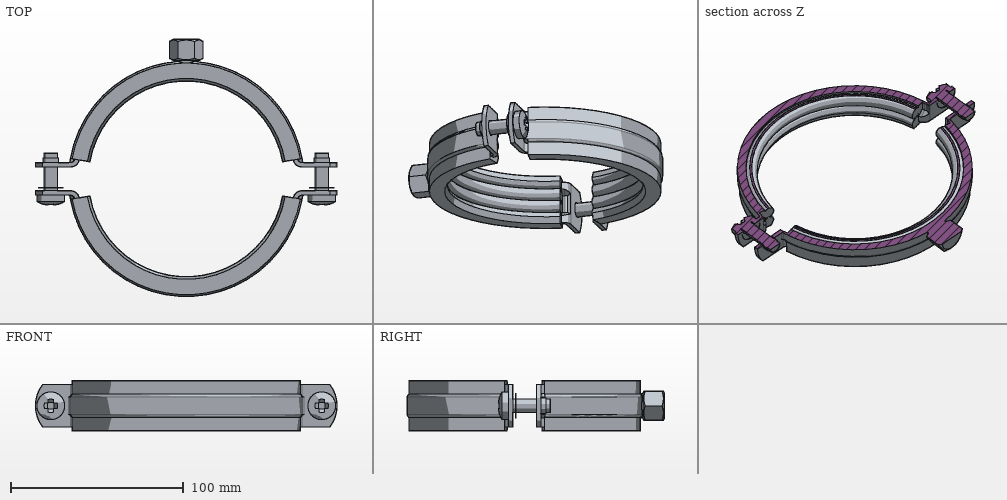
import cadquery as cq
import math

height = 29.0
end_angle = 10.0
lining_radius = 67.0
sheet = 2.6
band_radius = 65.5
embossed_radius = band_radius + sheet
track_half_crest = 5.0
track_round = 2.0
track_half_foot = track_half_crest + track_round
track_wall = 1.5
pocket_half_foot = 8.2
pocket_start = 66.3
rib_radius = 3.7
rib_count = 4
lining_inner_radius = 62.8
bore_radius = 56.5
rib_circle = bore_radius + rib_radius
rib_pitch = (height - 2 * rib_radius) / (rib_count - 1)
edge_rib_flat_radius = 58.1

overall_length = 174.5
ear_height = 24.6
ear_gap = 13.6
ear_inner = ear_gap / 2
ear_outer = ear_inner + sheet
ear_tip = overall_length / 2
ear_tip_sagitta = 4.2
ear_hole = 8.7
bend_radius = 2.6
emboss_bend_radius = 0.9

screw_x = 78.4
shank_diameter = 8.0
shank_tip_diameter = 7.3
shank_end = 15.0
collar_diameter = 9.0
collar_end = 12.2
head_radius = 8.0
head_rim = 3.7
head_height = 6.0
recess_arm = 3.0
recess_span = 8.4
recess_floor_diameter = 3.7
recess_depth = 2.8
washer_diameter = 14.0
washer_thickness = 0.3
washer_y = -5.0

hex_flats = 17.0
hex_start = 68.4
hex_end = 80.8
hex_face_radius = 7.5
hex_chamfer_slope = math.tan(math.radians(30))
neck_diameter = 14.0


def polar(radius, angle):
    """Point on the left side of the ring, angle in degrees above the split plane."""
    a = math.radians(angle)
    return -radius * math.cos(a), radius * math.sin(a)


def lining_profile():
    width = lining_radius - lining_inner_radius
    return cq.Workplane("XZ").moveTo(lining_radius - width / 2, 0).rect(width, height)


def track_profile():
    diagonal = track_round * math.sqrt(0.5)
    round_radius = embossed_radius - track_round
    round_mid = (round_radius + diagonal, track_half_crest + diagonal)
    return (
        cq.Workplane("XZ")
        .moveTo(band_radius, -track_half_foot)
        .lineTo(round_radius, -track_half_foot)
        .threePointArc((round_mid[0], -round_mid[1]), (embossed_radius, -track_half_crest))
        .lineTo(embossed_radius, track_half_crest)
        .threePointArc(round_mid, (round_radius, track_half_foot))
        .lineTo(band_radius, track_half_foot)
        .close()
    )


def edge_rib_profile(side):
    """Outermost rib: round towards its neighbour, flat along the ring face on the given side."""
    centre_z = side * (height / 2 - rib_radius)
    return (
        cq.Workplane("XZ")
        .moveTo(bore_radius, centre_z)
        .threePointArc((rib_circle, centre_z - side * rib_radius), (rib_circle + rib_radius, centre_z))
        .lineTo(rib_circle + rib_radius, side * height / 2)
        .lineTo(edge_rib_flat_radius, side * height / 2)
        .close()
    )


def quarter_ring():
    """Lining, raised track and inner ribs, swept from the +Y axis to the left end."""
    profiles = [lining_profile(), track_profile(), edge_rib_profile(-1), edge_rib_profile(1)]
    for i in range(1, rib_count - 1):
        rib_z = (i - (rib_count - 1) / 2) * rib_pitch
        profiles.append(cq.Workplane("XZ").moveTo(rib_circle, rib_z).circle(rib_radius))

    ring = cq.Workplane("XZ")
    for profile in profiles:
        ring = ring.union(profile.revolve(90 - end_angle, (0, 0, 0), (0, 1, 0)))
    return ring.rotate((0, 0, 0), (0, 0, 1), 90)


def envelope(base_z, ring_radius, ear_y, bend):
    """Filled outline below an ear face that bends up into a circle around the ring axis."""
    overlap_angle = 16.0
    beyond_tip = -ear_tip - 2 * sheet
    bend_y = ear_y + bend
    bend_x = -math.sqrt((ring_radius + bend) ** 2 - bend_y ** 2)
    tangent_angle = math.degrees(math.atan2(bend_y, -bend_x))
    mid_direction = math.radians(-90 - tangent_angle) / 2
    bend_mid = (bend_x + bend * math.cos(mid_direction), bend_y + bend * math.sin(mid_direction))
    arc_mid = polar(ring_radius, (tangent_angle + overlap_angle) / 2)
    return (
        cq.Workplane("XY", origin=(0, 0, base_z))
        .moveTo(beyond_tip, ear_y)
        .lineTo(bend_x, ear_y)
        .threePointArc(bend_mid, polar(ring_radius, tangent_angle))
        .threePointArc(arc_mid, polar(ring_radius, overlap_angle))
        .lineTo(*polar(bore_radius, overlap_angle))
        .lineTo(-bore_radius, 0)
        .lineTo(beyond_tip, 0)
        .close()
    )


def plain_envelope(ring_radius, ear_y, bend):
    return envelope(-ear_height / 2, ring_radius, ear_y, bend).extrude(ear_height)


def track_envelope(ring_radius, ear_y, bend, half_foot, drop):
    """Raised track: straight across its crest, then sloping down by the drop on both sides."""
    flank_width = half_foot - track_half_crest
    slope = math.degrees(math.atan2(drop, flank_width))
    crest = envelope(0, ring_radius, ear_y, bend).extrude(track_half_crest)
    flank = envelope(track_half_crest, ring_radius, ear_y, bend).extrude(flank_width, taper=slope)
    upper = crest.union(flank)
    return upper.union(upper.mirror("XY"))


def ear():
    """Upper left ear with its bend into the band, hollow behind the raised track."""
    outside = plain_envelope(band_radius, ear_outer, bend_radius)
    outside = outside.union(
        track_envelope(embossed_radius, ear_outer, emboss_bend_radius, track_half_foot, track_round))
    inside = plain_envelope(band_radius - sheet, ear_inner, bend_radius + sheet)
    pocket_radius = embossed_radius - track_wall
    pocket_drop = pocket_radius - (band_radius - sheet)
    pocket = track_envelope(
        pocket_radius, ear_outer - track_wall, emboss_bend_radius + track_wall, pocket_half_foot, pocket_drop)
    beside_ear = cq.Workplane("XY").rect(2 * pocket_start, overall_length).extrude(height / 2, both=True)
    inside = inside.union(pocket.intersect(beside_ear))

    corner_x = -ear_tip + ear_tip_sagitta
    outline = (
        cq.Workplane("XZ")
        .moveTo(-bore_radius, -ear_height / 2)
        .lineTo(corner_x, -ear_height / 2)
        .threePointArc((-ear_tip, 0), (corner_x, ear_height / 2))
        .lineTo(-bore_radius, ear_height / 2)
        .close()
        .extrude(-embossed_radius)
    )
    hole = cq.Workplane("XZ").moveTo(-screw_x, 0).circle(ear_hole / 2).extrude(-ear_outer)
    below_ring_end = (
        cq.Workplane("XY", origin=(0, 0, -ear_height))
        .polyline([(0, 0), polar(overall_length, end_angle), (-overall_length, 0)])
        .close()
        .extrude(2 * ear_height)
    )
    return outside.cut(inside).intersect(outline).intersect(below_ring_end).cut(hole)


def screw():
    """Pan head screw along +Y with a thread collar at the far ear and a thin washer."""
    head_base = -ear_outer
    head_end = head_base - head_height
    rim_y = head_base - head_rim
    dome_rise = head_height - head_rim
    dome_radius = (head_radius ** 2 + dome_rise ** 2) / (2 * dome_rise)
    half_way = math.asin(head_radius / dome_radius) / 2
    dome_mid = (
        dome_radius * math.sin(half_way),
        head_end + dome_radius * (1 - math.cos(half_way)),
    )
    tip_chamfer = (shank_diameter - shank_tip_diameter) / 2
    body = (
        cq.Workplane("XY")
        .moveTo(0, head_end)
        .threePointArc(dome_mid, (head_radius, rim_y))
        .lineTo(head_radius, head_base)
        .lineTo(shank_diameter / 2, head_base)
        .lineTo(shank_diameter / 2, shank_end - tip_chamfer)
        .lineTo(shank_tip_diameter / 2, shank_end)
        .lineTo(0, shank_end)
        .close()
        .revolve(360, (0, 0, 0), (0, 1, 0))
    )
    collar = cq.Workplane("XZ", origin=(0, ear_outer, 0)).circle(collar_diameter / 2)
    washer = cq.Workplane("XZ", origin=(0, washer_y, 0)).circle(washer_diameter / 2)
    body = body.union(collar.extrude(ear_outer - collar_end)).union(washer.extrude(washer_thickness))

    arm = (
        cq.Workplane("XY")
        .polyline([
            (-recess_span / 2, head_end),
            (-recess_floor_diameter / 2, head_end + recess_depth),
            (recess_floor_diameter / 2, head_end + recess_depth),
            (recess_span / 2, head_end),
        ])
        .close()
        .extrude(recess_arm / 2, both=True)
    )
    face = cq.Workplane("XZ", origin=(0, head_end, 0))
    centre = face.circle(recess_floor_diameter / 2).extrude(-recess_depth)
    return body.cut(arm).cut(arm.rotate((0, 0, 0), (0, 1, 0), 90)).cut(centre)


def hex_boss():
    """Hexagonal connector with both ends turned to a cone, on a round neck."""
    corner_radius = hex_flats / math.sqrt(3)
    length = hex_end - hex_start
    chamfer = (corner_radius - hex_face_radius) * hex_chamfer_slope
    prism = cq.Workplane("XZ", origin=(0, hex_start, 0)).polygon(6, 2 * corner_radius).extrude(-length)
    turned = (
        cq.Workplane("XY")
        .moveTo(0, hex_start)
        .lineTo(hex_face_radius, hex_start)
        .lineTo(corner_radius, hex_start + chamfer)
        .lineTo(corner_radius, hex_end - chamfer)
        .lineTo(hex_face_radius, hex_end)
        .lineTo(0, hex_end)
        .close()
        .revolve(360, (0, 0, 0), (0, 1, 0))
    )
    neck = cq.Workplane("XZ", origin=(0, band_radius, 0)).circle(neck_diameter / 2)
    return prism.intersect(turned).union(neck.extrude(band_radius - hex_start))


upper_left = quarter_ring().union(ear())
upper_half = upper_left.union(upper_left.mirror("YZ"))
result = upper_half.union(hex_boss())
for side in (-1, 1):
    result = result.union(screw().translate((side * screw_x, 0, 0)))
result = result.union(upper_half.mirror("XZ"))